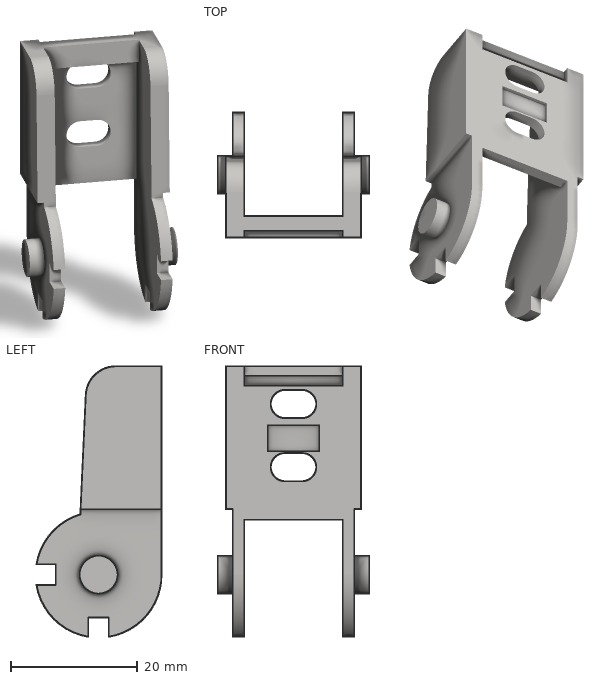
import cadquery as cq

body_width = 21.45
inner_width = 15.5
arm_width = 19.3
pin_span = 24.0
top_height = 33.0
body_bottom = 10.37
web_bottom = 8.65
web_thickness = 1.8
rail_thickness = 3.47
rail_bottom = 29.25

wall_depth_bottom = 12.85
wall_depth_top = 11.85
wall_corner_radius = 4.8

arm_radius = 10.0
pin_diameter = 6.0
notch_width = 3.2
notch_floor = 6.8

slot_length = 7.15
slot_height = 4.4
slot_heights = (17.0, 27.0)
recess_width = 8.1
recess_height = 4.15
recess_bottom = 19.5
recess_depth = 0.65
groove_depth = 1.07
undercut_depth = 2.0
undercut_top = 31.5
undercut_bottom = 29.9


def centered_box(width, y_min, y_max, z_min, z_max):
    """Box centered on X = 0 between the given Y and Z limits."""
    box = cq.Workplane("XY").box(width, y_max - y_min, z_max - z_min, centered=(True, False, False))
    return box.translate((0, y_min, z_min))


def side_profile(points, width):
    """Closed (Y, Z) polygon extruded symmetrically along X."""
    return cq.Workplane("YZ").polyline(points).close().extrude(width / 2, both=True)


def make_body():
    """Upper block with leaning rear edges rounded at the top."""
    outline = [
        (0, body_bottom),
        (wall_depth_bottom, body_bottom),
        (wall_depth_top, top_height),
        (0, top_height),
    ]
    return side_profile(outline, body_width).edges("|X").edges(">Z").edges(">Y").fillet(wall_corner_radius)


def make_arms():
    """Round hinge plates joined to the body, notched at the rear and at the bottom."""
    disc = cq.Workplane("YZ").center(arm_radius, 0).circle(arm_radius).extrude(arm_width / 2, both=True)
    neck = centered_box(arm_width, 0, arm_radius, 0, body_bottom)
    shoulder = centered_box(arm_width, 0, wall_depth_bottom, arm_radius / 2, body_bottom)
    rear_notch = centered_box(
        arm_width, arm_radius + notch_floor, 2 * arm_radius, -notch_width / 2, notch_width / 2
    )
    bottom_notch = centered_box(
        arm_width, arm_radius - notch_width / 2, arm_radius + notch_width / 2, -arm_radius, -notch_floor
    )
    return disc.union(neck).union(shoulder).cut(rear_notch).cut(bottom_notch)


def make_channel():
    """Space between the walls: behind the rail and the thinner web, and right through below them."""
    behind_rail = centered_box(inner_width, rail_thickness, 2 * arm_radius, -arm_radius, top_height)
    behind_web = centered_box(inner_width, web_thickness, rail_thickness, -arm_radius, rail_bottom)
    below_web = centered_box(inner_width, 0, web_thickness, -arm_radius, web_bottom)
    return behind_rail.union(behind_web).union(below_web)


def make_pins():
    """Round pins standing out of both arms."""
    pins = cq.Workplane("YZ").center(arm_radius, 0).circle(pin_diameter / 2).extrude(pin_span / 2, both=True)
    return pins.cut(centered_box(inner_width, 0, 2 * arm_radius, -arm_radius, arm_radius))


def make_slots():
    """Horizontal round-ended slots through the web."""
    centers = [(0, height) for height in slot_heights]
    return cq.Workplane("XZ").pushPoints(centers).slot2D(slot_length, slot_height).extrude(-web_thickness)


def make_recess():
    """Shallow rectangular pocket between the slots."""
    return centered_box(recess_width, 0, recess_depth, recess_bottom, recess_bottom + recess_height)


def make_groove():
    """Step along the top front edge, running into a deeper undercut at its foot."""
    step = centered_box(inner_width, 0, groove_depth, undercut_bottom, top_height)
    undercut = centered_box(inner_width, 0, undercut_depth, undercut_bottom, undercut_top)
    return step.union(undercut)


result = make_body().union(make_arms()).cut(make_channel()).union(make_pins())
for opening in (make_slots(), make_recess(), make_groove()):
    result = result.cut(opening)